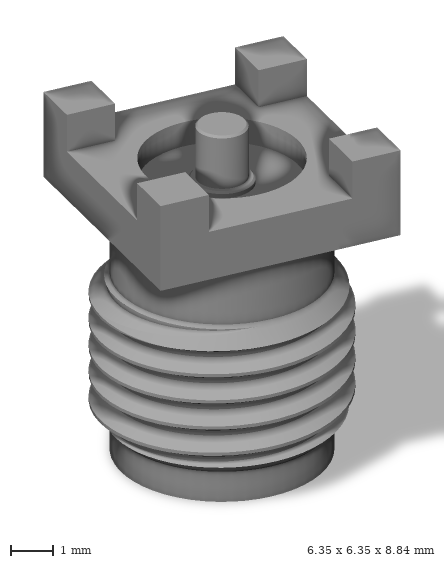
import cadquery as cq
import math

total_height = 8.84
flange_width = 6.35
flange_bottom = 6.55
post_width = 1.27
post_height = 1.0
flange_top = total_height - post_height

recess_diameter = 4.03
recess_depth = 0.65
recess_floor = flange_top - recess_depth
pin_diameter = 1.27
pin_top = 8.77
collar_diameter = 1.6
collar_height = 0.17
edge_chamfer = 0.05

barrel_diameter = 5.35
thread_bottom = 0.81
thread_top = 4.79
thread_diameter = flange_width
thread_root_diameter = 5.52
thread_pitch = 0.71
thread_crest_width = 0.09
thread_flank_angle = 30.0
crest_height_at_x = 3.73


def cylinder(diameter, bottom, top):
    return cq.Workplane("XY").workplane(offset=bottom).circle(diameter / 2).extrude(top - bottom)


def make_flange():
    flange = (
        cq.Workplane("XY")
        .workplane(offset=flange_bottom)
        .rect(flange_width, flange_width)
        .extrude(flange_top - flange_bottom)
        .cut(cylinder(recess_diameter, recess_floor, flange_top))
    )
    post_spacing = flange_width - post_width
    posts = (
        cq.Workplane("XY")
        .workplane(offset=flange_top)
        .rarray(post_spacing, post_spacing, 2, 2)
        .rect(post_width, post_width)
        .extrude(post_height)
    )
    return flange.union(posts)


def make_pin():
    pin = cylinder(pin_diameter, recess_floor, pin_top).faces(">Z").chamfer(edge_chamfer)
    collar = cylinder(collar_diameter, recess_floor, recess_floor + collar_height)
    collar = collar.faces(">Z").chamfer(edge_chamfer)
    return pin.union(collar)


def make_thread_groove():
    """Helical V groove that runs past both ends of the threaded sleeve."""
    root_radius = thread_root_diameter / 2
    crest_radius = thread_diameter / 2
    clearance = 0.03
    outer_radius = crest_radius + clearance
    flank_slope = math.tan(math.radians(thread_flank_angle))
    crest_gap_half = (thread_pitch - thread_crest_width) / 2
    outer_half = crest_gap_half + clearance * flank_slope
    root_half = crest_gap_half - (crest_radius - root_radius) * flank_slope

    groove_at_x = crest_height_at_x - thread_pitch / 2
    turns_below = math.ceil((groove_at_x - thread_bottom) / thread_pitch) + 1
    turns_above = math.ceil((thread_top - groove_at_x) / thread_pitch) + 1
    start = groove_at_x - turns_below * thread_pitch
    length = (turns_below + turns_above) * thread_pitch
    path = cq.Wire.makeHelix(thread_pitch, length, root_radius).translate(cq.Vector(0, 0, start))
    return (
        cq.Workplane("XZ")
        .moveTo(root_radius, start - root_half)
        .lineTo(outer_radius, start - outer_half)
        .lineTo(outer_radius, start + outer_half)
        .lineTo(root_radius, start + root_half)
        .close()
        .sweep(cq.Workplane(path), isFrenet=True)
    )


def make_thread():
    """Threaded sleeve whose ends taper at 45 degrees down to the barrel."""
    end_taper = (thread_diameter - barrel_diameter) / 2
    sleeve = cylinder(thread_diameter, thread_bottom, thread_top)
    sleeve = sleeve.faces("<Z or >Z").chamfer(end_taper)
    rod_overrun = 4 * thread_pitch
    threaded_rod = cylinder(thread_diameter, thread_bottom - rod_overrun, thread_top + rod_overrun)
    return threaded_rod.cut(make_thread_groove()).intersect(sleeve)


barrel = cylinder(barrel_diameter, 0, flange_bottom)
result = barrel.union(make_thread()).union(make_flange()).union(make_pin())